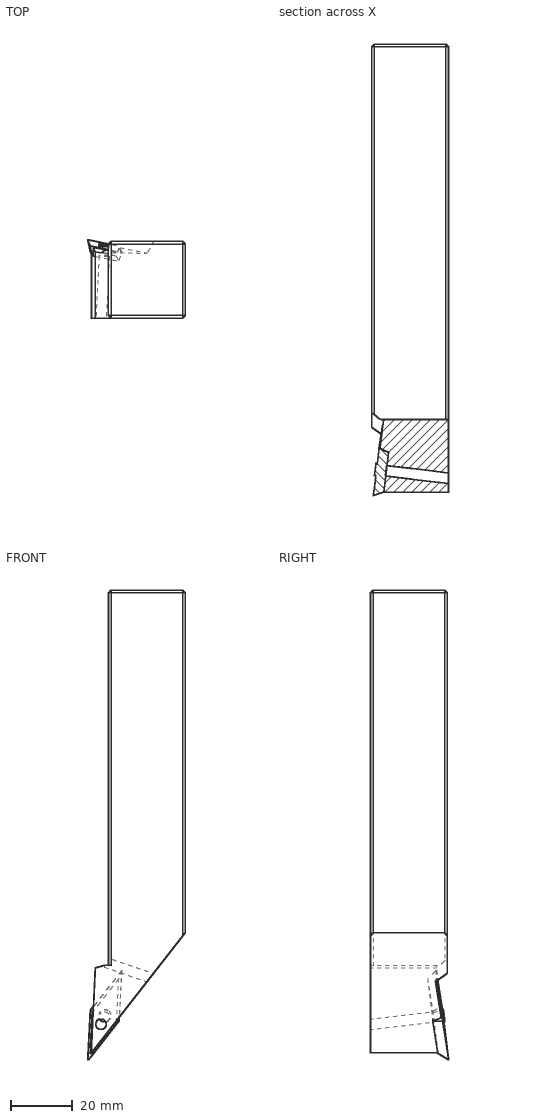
import cadquery as cq
import math

LENGTH = 152.4
SHANK_SIZE = 25.0
SHANK_RIGHT = 31.7
SHANK_LEFT = SHANK_RIGHT - SHANK_SIZE
SHANK_CHAMFER = 0.9

SLANT_TOP = 41.3
SLANT_ANGLE = 52.0
HEAD_TOP_X = 2.5
HEAD_TOP_Z = 29.9
HEAD_TIP_X = 1.2
SHOULDER_X = 5.6
SHOULDER_Z = 30.8
HEAD_TIP_Z = SLANT_TOP - (SHANK_RIGHT - HEAD_TIP_X) * math.tan(math.radians(SLANT_ANGLE))

NOSE_Y = 25.5
INSERT_SIDE = 16.6
NOSE_RADIUS = 0.23
NOSE_LIFT = 0.05
NOSE_ANGLE = 35.0
INSERT_THICKNESS = 3.2
RELIEF_ANGLE = 14.0
RAKE_X = 0.05
RAKE_Z = 0.12
INSERT_PROUD = 0.3
BOSS_RADIUS = 2.0
BOSS_HEIGHT = 0.5
BORE_RADIUS = 1.7

CHIP_WALL_Z = 35.4
CHIP_WALL_DROP = 0.34
CHIP_WALL_SLOPE = 0.9
CUT_REACH = 91.5

RAKE_NORMAL = cq.Vector(RAKE_X, 1, RAKE_Z).normalized()
RAKE_PLANE = cq.Plane(
    origin=(0, NOSE_Y, 0),
    xDir=(1, -RAKE_X, 0),
    normal=RAKE_NORMAL.toTuple(),
)


def face_point(x, z):
    """Local coordinates on the rake plane of the point above (x, z)."""
    y = NOSE_Y - RAKE_X * x - RAKE_Z * z
    local = RAKE_PLANE.toLocalCoords(cq.Vector(x, y, z))
    return (local.x, local.y)


def side_offset(angle):
    """X and Z run of one insert side at an angle from horizontal."""
    radians = math.radians(angle)
    return INSERT_SIDE * math.cos(radians), INSERT_SIDE * math.sin(radians)


RIGHT_X, RIGHT_Z = side_offset(SLANT_ANGLE)
LEFT_X, LEFT_Z = side_offset(SLANT_ANGLE + NOSE_ANGLE)

NOSE_AXIS = math.radians(SLANT_ANGLE + NOSE_ANGLE / 2)
NOSE_REACH = NOSE_RADIUS / math.sin(math.radians(NOSE_ANGLE / 2))
NOSE_X = NOSE_RADIUS - NOSE_REACH * math.cos(NOSE_AXIS)
NOSE_Z = NOSE_LIFT + NOSE_RADIUS - NOSE_REACH * math.sin(NOSE_AXIS)
FAR_X = NOSE_X + RIGHT_X + LEFT_X
FAR_Z = NOSE_Z + RIGHT_Z + LEFT_Z
CENTER = face_point((NOSE_X + FAR_X) / 2, (NOSE_Z + FAR_Z) / 2)


def insert_blank():
    """Rhombus with relieved sides and a rounded nose."""
    corners = [
        (NOSE_X, NOSE_Z),
        (NOSE_X + RIGHT_X, NOSE_Z + RIGHT_Z),
        (FAR_X, FAR_Z),
        (NOSE_X + LEFT_X, NOSE_Z + LEFT_Z),
    ]
    outline = cq.Workplane(RAKE_PLANE).polyline([face_point(x, z) for x, z in corners]).close()
    blank = outline.extrude(-INSERT_THICKNESS, taper=RELIEF_ANGLE)
    nose_edge = cq.selectors.NearestToPointSelector((NOSE_X, NOSE_Y - INSERT_THICKNESS / 2, NOSE_Z))
    return blank.edges(nose_edge).fillet(NOSE_RADIUS)


def make_insert():
    """Insert with a low round boss at its center."""
    boss = cq.Workplane(RAKE_PLANE).center(*CENTER).circle(BOSS_RADIUS).extrude(BOSS_HEIGHT)
    return insert_blank().union(boss)


def make_shank():
    base = cq.Workplane("XY", origin=(SHANK_LEFT, 0, SHOULDER_Z))
    shank = base.box(SHANK_SIZE, SHANK_SIZE, LENGTH - SHOULDER_Z, centered=False)
    return shank.edges("|Z or >Z").chamfer(SHANK_CHAMFER)


def make_head():
    """Head at full shank depth, from the tip up to the shoulder."""
    slant_x = SHANK_RIGHT - (SLANT_TOP - SHOULDER_Z) / math.tan(math.radians(SLANT_ANGLE))
    outline = [
        (HEAD_TIP_X, HEAD_TIP_Z),
        (slant_x, SHOULDER_Z),
        (SHOULDER_X, SHOULDER_Z),
        (HEAD_TOP_X, HEAD_TOP_Z),
    ]
    return cq.Workplane("XZ").polyline(outline).close().extrude(-SHANK_SIZE)


def slant_cut():
    """Region beyond the slanted side, which trims the bottom of the shank."""
    run = SHANK_RIGHT - HEAD_TIP_X
    outline = [
        (HEAD_TIP_X, HEAD_TIP_Z),
        (HEAD_TIP_X + 2 * run, 2 * SLANT_TOP - HEAD_TIP_Z),
        (HEAD_TIP_X + 2 * run, HEAD_TIP_Z),
    ]
    return cq.Workplane("XZ").polyline(outline).close().extrude(-SHANK_SIZE)


def chip_space():
    """Region behind the rake face and below the sloping wall."""
    above_rake = (
        cq.Workplane(RAKE_PLANE).workplane(offset=-INSERT_PROUD)
        .rect(CUT_REACH * 2, CUT_REACH * 2).extrude(CUT_REACH)
    )
    wall = cq.Plane(
        origin=(0, SHANK_SIZE, CHIP_WALL_Z),
        xDir=(1, 0, -CHIP_WALL_DROP),
        normal=(-CHIP_WALL_DROP, CHIP_WALL_SLOPE, -1),
    )
    below_wall = cq.Workplane(wall).rect(CUT_REACH * 2, CUT_REACH * 2).extrude(CUT_REACH)
    return above_rake.intersect(below_wall)


def screw_bore():
    """Bore square to the insert, from its center out through the front of the head."""
    return cq.Workplane(RAKE_PLANE).center(*CENTER).circle(BORE_RADIUS).extrude(-2 * SHANK_SIZE)


insert = make_insert().solids()
holder = make_shank().union(make_head()).cut(slant_cut())
holder = holder.cut(chip_space()).cut(screw_bore()).cut(insert).solids()

result = cq.Compound.makeCompound([holder.val(), insert.val()])